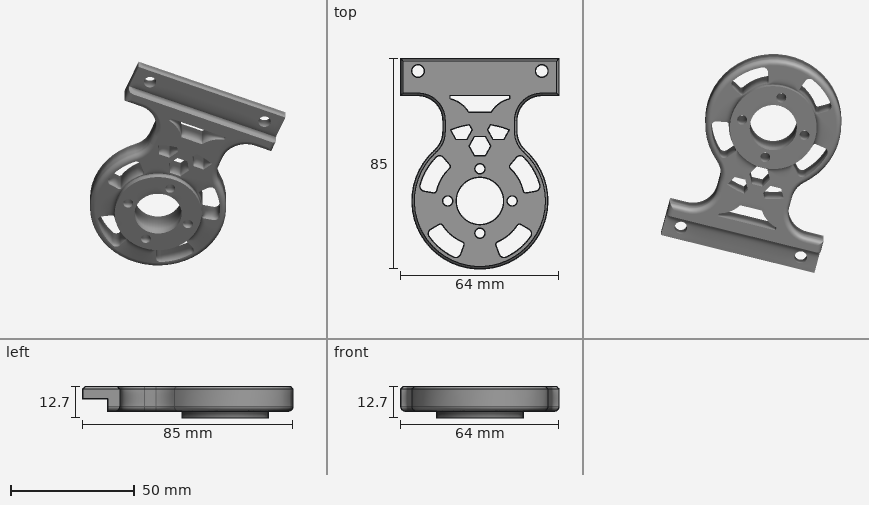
import cadquery as cq
import math

plate_thickness = 10.0
total_length = 85.0
disc_diameter = 55.0
flange_width = 64.0
flange_depth = 15.0
neck_width = 30.0
neck_fillet = 10.0
top_chamfer = 1.0
bottom_fillet = 2.0

rebate_depth = 10.0
flange_lip_thickness = 5.0

boss_diameter = 35.0
boss_height = 2.7
bore_diameter = 19.0
pin_diameter = 4.0
pin_circle_radius = 13.0
pin_count = 4

screw_diameter = 5.0
screw_spacing = 50.0
screw_edge_distance = 5.0

window_inner_radius = 18.0
window_outer_radius = 25.0
window_span = 40.0
window_centre_angles = (30.0, 150.0, 230.0, 310.0)
window_inner_fillet = 1.0
window_outer_fillet = 2.0

hexagon_half_width = 4.3
hexagon_half_flat = 2.2
hexagon_half_height = 3.8
lower_hexagon_y = 22.2
side_hexagon_x = 7.5
side_hexagon_y = 28.7
side_hexagon_limit_radius = 31.0

opening_width = 24.0
opening_bottom_y = 35.9
web_radius = 12.0
web_centre_x = 14.8
web_centre_y = 29.7

disc_radius = disc_diameter / 2
back_y = total_length - disc_radius
flange_front_y = back_y - flange_depth
half_flange = flange_width / 2
half_neck = neck_width / 2


def make_plate():
    """Outline of disc, neck and flange, with treated top and bottom rims."""
    fillet_x = half_neck + neck_fillet
    flange_fillet_y = flange_front_y - neck_fillet
    disc_fillet_y = math.sqrt((disc_radius + neck_fillet) ** 2 - fillet_x**2)
    tangent_scale = disc_radius / (disc_radius + neck_fillet)
    tangent_x = fillet_x * tangent_scale
    tangent_y = disc_fillet_y * tangent_scale

    flange_mid_x = fillet_x - neck_fillet * math.cos(math.pi / 4)
    flange_mid_y = flange_fillet_y + neck_fillet * math.sin(math.pi / 4)
    half_sweep = math.atan2(disc_fillet_y, fillet_x) / 2
    disc_mid_x = fillet_x - neck_fillet * math.cos(half_sweep)
    disc_mid_y = disc_fillet_y - neck_fillet * math.sin(half_sweep)

    outline = (
        cq.Workplane("XY")
        .moveTo(-half_flange, back_y)
        .lineTo(half_flange, back_y)
        .lineTo(half_flange, flange_front_y)
        .lineTo(fillet_x, flange_front_y)
        .threePointArc((flange_mid_x, flange_mid_y), (half_neck, flange_fillet_y))
        .lineTo(half_neck, disc_fillet_y)
        .threePointArc((disc_mid_x, disc_mid_y), (tangent_x, tangent_y))
        .threePointArc((0, -disc_radius), (-tangent_x, tangent_y))
        .threePointArc((-disc_mid_x, disc_mid_y), (-half_neck, disc_fillet_y))
        .lineTo(-half_neck, flange_fillet_y)
        .threePointArc((-flange_mid_x, flange_mid_y), (-fillet_x, flange_front_y))
        .lineTo(-half_flange, flange_front_y)
        .close()
    )
    plate = outline.extrude(plate_thickness)
    plate = plate.faces("<Z").edges().fillet(bottom_fillet)
    return plate.faces(">Z").edges().chamfer(top_chamfer)


def make_rebate():
    """Block that thins the back of the flange from below."""
    return (
        cq.Workplane("XY")
        .center(0, back_y - rebate_depth / 2)
        .rect(flange_width, rebate_depth)
        .extrude(plate_thickness - flange_lip_thickness)
    )


def make_boss():
    return cq.Workplane("XY").circle(boss_diameter / 2).extrude(-boss_height)


def make_round_holes():
    """Central bore, pin holes around it and flange screw holes."""
    height = boss_height + plate_thickness
    base = cq.Workplane("XY").workplane(offset=-boss_height)
    bore = base.circle(bore_diameter / 2).extrude(height)
    pins = (
        base.polarArray(pin_circle_radius, 0, 360, pin_count)
        .circle(pin_diameter / 2)
        .extrude(height)
    )
    screws = (
        base.center(0, back_y - screw_edge_distance)
        .rarray(screw_spacing, 0.85, 2, 1)
        .circle(screw_diameter / 2)
        .extrude(height)
    )
    return bore.union(pins).union(screws)


def polar_point(radius, degrees):
    angle = math.radians(degrees)
    return (radius * math.cos(angle), radius * math.sin(angle))


def make_window(centre_angle):
    """Ring sector with rounded corners."""
    half_span = window_span / 2
    window = (
        cq.Workplane("XY")
        .moveTo(*polar_point(window_inner_radius, -half_span))
        .lineTo(*polar_point(window_outer_radius, -half_span))
        .threePointArc((window_outer_radius, 0), polar_point(window_outer_radius, half_span))
        .lineTo(*polar_point(window_inner_radius, half_span))
        .threePointArc((window_inner_radius, 0), polar_point(window_inner_radius, -half_span))
        .close()
        .extrude(plate_thickness)
    )
    middle_x = (window_inner_radius + window_outer_radius) / 2
    outer_corners = cq.selectors.BoxSelector(
        (middle_x, -window_outer_radius, 0),
        (window_outer_radius, window_outer_radius, plate_thickness),
    )
    inner_corners = cq.selectors.BoxSelector(
        (0, -window_outer_radius, 0),
        (middle_x, window_outer_radius, plate_thickness),
    )
    window = window.edges("|Z").edges(outer_corners).fillet(window_outer_fillet)
    window = window.edges("|Z").edges(inner_corners).fillet(window_inner_fillet)
    return window.rotate((0, 0, 0), (0, 0, 1), centre_angle)


def make_hexagon(centre_x, centre_y):
    return (
        cq.Workplane("XY")
        .center(centre_x, centre_y)
        .polyline([
            (hexagon_half_width, 0),
            (hexagon_half_flat, hexagon_half_height),
            (-hexagon_half_flat, hexagon_half_height),
            (-hexagon_half_width, 0),
            (-hexagon_half_flat, -hexagon_half_height),
            (hexagon_half_flat, -hexagon_half_height),
        ])
        .close()
        .extrude(plate_thickness)
    )


def make_neck_hexagons():
    """One full hexagon, and two cut off by an arc around the disc axis."""
    limit = cq.Workplane("XY").circle(side_hexagon_limit_radius).extrude(plate_thickness)
    hexagons = make_hexagon(0, lower_hexagon_y)
    for side in (-1, 1):
        side_hexagon = make_hexagon(side * side_hexagon_x, side_hexagon_y)
        hexagons = hexagons.union(side_hexagon.intersect(limit))
    return hexagons


def make_neck_opening():
    """Rectangle narrowed by a round web at each side of the neck."""
    height = flange_front_y - opening_bottom_y
    opening = (
        cq.Workplane("XY")
        .center(0, opening_bottom_y + height / 2)
        .rect(opening_width, height)
        .extrude(plate_thickness)
    )
    webs = (
        cq.Workplane("XY")
        .pushPoints([(-web_centre_x, web_centre_y), (web_centre_x, web_centre_y)])
        .circle(web_radius)
        .extrude(plate_thickness)
    )
    return opening.cut(webs)


result = make_plate().cut(make_rebate()).union(make_boss())
result = result.cut(make_round_holes())
for angle in window_centre_angles:
    result = result.cut(make_window(angle))
result = result.cut(make_neck_hexagons()).cut(make_neck_opening())